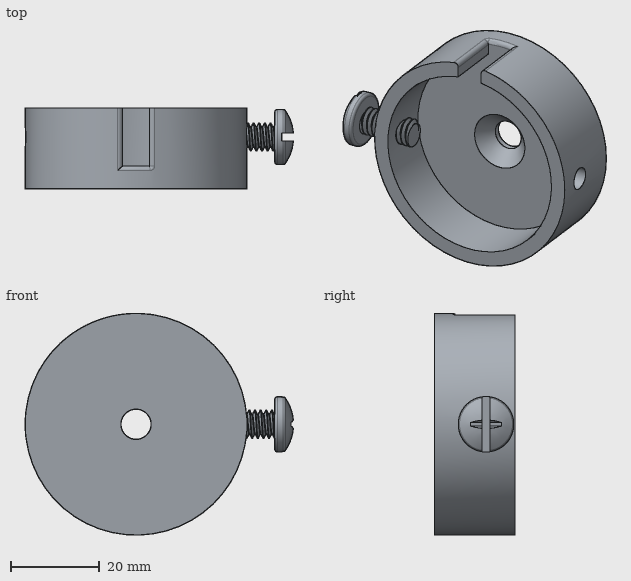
import cadquery as cq
import math

DRUM_RADIUS = 25.0
DRUM_LENGTH = 18.25
CAVITY_RADIUS = 21.5
FLOOR_THICKNESS = 5.08

CENTER_HOLE_DIAMETER = 6.75
COUNTERSINK_DIAMETER = 13.2
COUNTERSINK_ANGLE = 82.0

NOTCH_WIDTH = 6.0
NOTCH_EDGE_RADIUS = 1.0

SCREW_Y = (FLOOR_THICKNESS + DRUM_LENGTH) / 2
SIDE_HOLE_DIAMETER = 5.1
THREAD_DIAMETER = 6.35
THREAD_PITCH = 1.27
THREAD_DEPTH = 0.92
THREAD_ROOT_WIDTH = 1.1
THREAD_CREST_WIDTH = 0.16
SHANK_LENGTH = 12.7
HEAD_SEAT_X = 31.25

HEAD_RADIUS = 6.25
HEAD_HEIGHT = 4.3
HEAD_SEAT_FILLET = 0.67
HEAD_RIM_HEIGHT = 1.85
DOME_BASE_HEIGHT = 2.4
DOME_BASE_RADIUS = 5.98

DRIVER_SLOT_WIDTH = 1.8
DRIVER_SLOT_FLOOR = 1.62
CROSS_GROOVE_DEPTH = 0.6
CROSS_GROOVE_FLOOR_WIDTH = 0.8
CROSS_GROOVE_TOP_WIDTH = 2.0

HEAD_OVERLAP = 0.5
RIDGE_OVERLAP = 0.1

PICK_MARGIN = 0.01


def y_cylinder(radius, y_start, y_end):
    """Cylinder about the Y axis with its seam on the -X side."""
    base = cq.Plane(origin=(0, y_start, 0), xDir=(-1, 0, 0), normal=(0, 1, 0))
    return cq.Workplane(base).circle(radius).extrude(y_end - y_start)


def make_cup():
    cup = y_cylinder(DRUM_RADIUS, 0, DRUM_LENGTH)
    return cup.cut(y_cylinder(CAVITY_RADIUS, FLOOR_THICKNESS, DRUM_LENGTH))


def cut_notch(cup):
    """Cut the notch in the rim and round its edges on the outer surface."""
    notch_length = DRUM_LENGTH - FLOOR_THICKNESS
    notch = cq.Workplane().box(NOTCH_WIDTH, notch_length, DRUM_RADIUS, centered=(True, False, False))
    notched = cup.cut(notch.translate((0, FLOOR_THICKNESS, 0)))
    edge_z = math.sqrt(DRUM_RADIUS**2 - (NOTCH_WIDTH / 2) ** 2)
    outer_edges = notched.edges(
        cq.selectors.BoxSelector(
            (-NOTCH_WIDTH / 2 - PICK_MARGIN, FLOOR_THICKNESS - PICK_MARGIN, edge_z - PICK_MARGIN),
            (NOTCH_WIDTH / 2 + PICK_MARGIN, DRUM_LENGTH - PICK_MARGIN, DRUM_RADIUS + PICK_MARGIN),
        )
    )
    return outer_edges.fillet(NOTCH_EDGE_RADIUS)


def center_hole_cutter():
    """Through hole whose countersink meets the cavity floor."""
    hole_radius = CENTER_HOLE_DIAMETER / 2
    sink_radius = COUNTERSINK_DIAMETER / 2
    sink_depth = (sink_radius - hole_radius) / math.tan(math.radians(COUNTERSINK_ANGLE / 2))
    profile = (
        cq.Workplane("XY")
        .lineTo(hole_radius, 0)
        .lineTo(hole_radius, FLOOR_THICKNESS - sink_depth)
        .lineTo(sink_radius, FLOOR_THICKNESS)
        .lineTo(0, FLOOR_THICKNESS)
        .close()
    )
    return profile.revolve(360, (0, 0, 0), (0, 1, 0))


def side_hole_cutter():
    """Drill along X through the rim on the -X side."""
    circle = cq.Workplane("YZ").center(SCREW_Y, 0).circle(SIDE_HOLE_DIAMETER / 2)
    return circle.extrude(-DRUM_RADIUS)


def make_shank():
    """Threaded shank along +Z, tip at z = 0 and running slightly into the head."""
    root_radius = THREAD_DIAMETER / 2 - THREAD_DEPTH
    length = SHANK_LENGTH + HEAD_OVERLAP
    base_radius = root_radius - RIDGE_OVERLAP
    flank_slope = (THREAD_ROOT_WIDTH - THREAD_CREST_WIDTH) / 2 / THREAD_DEPTH
    base_half = THREAD_ROOT_WIDTH / 2 + RIDGE_OVERLAP * flank_slope
    crest_half = THREAD_CREST_WIDTH / 2
    crest_radius = THREAD_DIAMETER / 2
    helix = cq.Wire.makeHelix(THREAD_PITCH, length + 2 * THREAD_PITCH, base_radius)
    ridge = (
        cq.Workplane("XZ")
        .moveTo(base_radius, -base_half)
        .lineTo(crest_radius, -crest_half)
        .lineTo(crest_radius, crest_half)
        .lineTo(base_radius, base_half)
        .close()
        .sweep(cq.Workplane(helix), isFrenet=True)
        .translate((0, 0, -THREAD_PITCH))
    )
    envelope = cq.Workplane().circle(THREAD_DIAMETER).extrude(length)
    core = cq.Workplane().circle(root_radius).extrude(length)
    return core.union(ridge.intersect(envelope))


def make_head():
    """Head along +Z with its seat at z = 0."""
    quarter = math.sqrt(0.5)
    seat_mid_r = HEAD_RADIUS - HEAD_SEAT_FILLET * (1 - quarter)
    seat_mid_z = HEAD_SEAT_FILLET * (1 - quarter)
    dome_rise = HEAD_HEIGHT - DOME_BASE_HEIGHT
    dome_radius = (DOME_BASE_RADIUS**2 + dome_rise**2) / (2 * dome_rise)
    dome_mid_r = DOME_BASE_RADIUS / 2
    dome_mid_z = HEAD_HEIGHT - dome_radius + math.sqrt(dome_radius**2 - dome_mid_r**2)
    profile = (
        cq.Workplane("XZ")
        .lineTo(HEAD_RADIUS - HEAD_SEAT_FILLET, 0)
        .threePointArc((seat_mid_r, seat_mid_z), (HEAD_RADIUS, HEAD_SEAT_FILLET))
        .lineTo(HEAD_RADIUS, HEAD_RIM_HEIGHT)
        .tangentArcPoint((DOME_BASE_RADIUS, DOME_BASE_HEIGHT), relative=False)
        .threePointArc((dome_mid_r, dome_mid_z), (0, HEAD_HEIGHT))
        .close()
    )
    head = profile.revolve(360, (0, 0, 0), (0, 1, 0))
    return head.cut(driver_slot_cutter()).cut(cross_groove_cutter())


def driver_slot_cutter():
    slot = cq.Workplane().box(2 * HEAD_RADIUS, DRIVER_SLOT_WIDTH, HEAD_HEIGHT, centered=(True, True, False))
    return slot.translate((0, 0, DRIVER_SLOT_FLOOR))


def cross_groove_cutter():
    floor_z = HEAD_HEIGHT - CROSS_GROOVE_DEPTH
    return (
        cq.Workplane("XZ")
        .moveTo(-CROSS_GROOVE_FLOOR_WIDTH / 2, floor_z)
        .lineTo(CROSS_GROOVE_FLOOR_WIDTH / 2, floor_z)
        .lineTo(CROSS_GROOVE_TOP_WIDTH / 2, HEAD_HEIGHT)
        .lineTo(-CROSS_GROOVE_TOP_WIDTH / 2, HEAD_HEIGHT)
        .close()
        .extrude(HEAD_RADIUS, both=True)
    )


def make_screw():
    """Screw turned to lie along +X at its place in the rim."""
    screw = make_shank().union(make_head().translate((0, 0, SHANK_LENGTH)))
    along_x = screw.rotate((0, 0, 0), (0, 1, 0), 90)
    return along_x.translate((HEAD_SEAT_X - SHANK_LENGTH, SCREW_Y, 0))


drum = cut_notch(make_cup()).cut(center_hole_cutter()).cut(side_hole_cutter())
result = drum.union(make_screw())